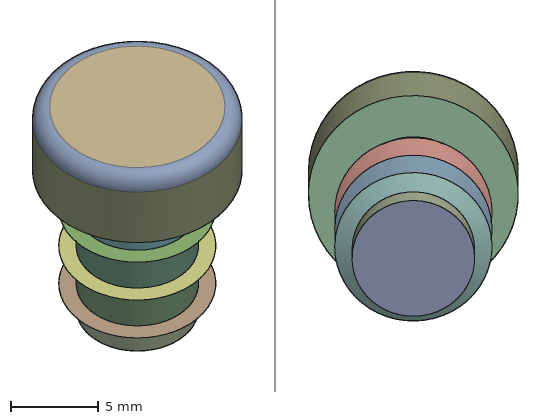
import cadquery as cq

total_height = 16.0
head_diameter = 12.0
head_height = 5.0
head_edge_radius = 1.0
stem_diameter = 7.0

fin_count = 3
fin_diameter = 9.0
fin_height = 0.5
lowest_fin_top = 2.0

head_underside = total_height - head_height
fin_pitch = (head_underside - lowest_fin_top) / fin_count


def make_head():
    """Cylindrical cap with a rounded top edge."""
    head = cq.Workplane("XY").workplane(offset=head_underside).circle(head_diameter / 2).extrude(head_height)
    return head.faces(">Z").edges().fillet(head_edge_radius)


def make_stem():
    """Plain cylinder from the base to the underside of the head."""
    return cq.Workplane("XY").circle(stem_diameter / 2).extrude(head_underside)


def make_fin(top):
    """Cone widening from the stem to a sharp rim at the given height."""
    stem_radius = stem_diameter / 2
    bottom = top - fin_height
    profile = (
        cq.Workplane("XZ")
        .moveTo(0, bottom)
        .lineTo(stem_radius, bottom)
        .lineTo(fin_diameter / 2, top)
        .lineTo(0, top)
        .close()
    )
    return profile.revolve(360, (0, 0, 0), (0, 1, 0))


result = make_stem().union(make_head())
for index in range(fin_count):
    result = result.union(make_fin(lowest_fin_top + index * fin_pitch))